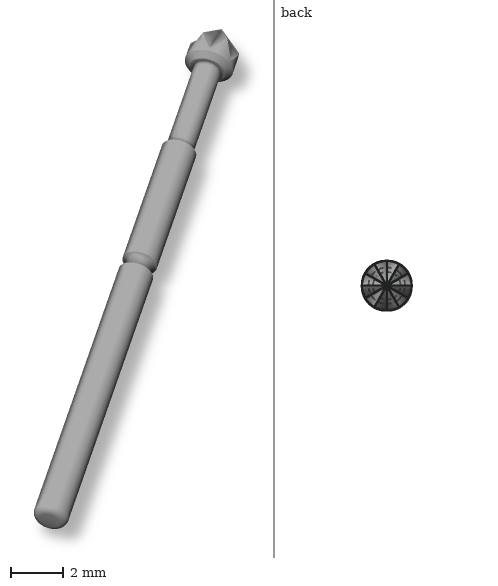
import cadquery as cq
import math

length = 24.6
head_radius = 0.95
shank_radius = 0.55
body_radius = 0.7

head_rim_end = 1.85
head_end = 2.07
body_start = 6.1
groove_start = 11.7
groove_end = 12.25

head_back_radius = 0.71
groove_depth = 0.17
tail_round = 0.3

ridge_count = 6
valley_length = 1.7
ridge_slope = 1.0
valley_slope = head_radius / valley_length


def make_head():
    """Round head with a chamfered back, its front cut to a star pyramid."""
    rim = cq.Workplane("XZ").circle(head_radius).extrude(head_rim_end)
    star = make_star_pyramid(head_rim_end)
    chamfer = (
        cq.Workplane("XY")
        .moveTo(0, -head_rim_end)
        .lineTo(head_radius, -head_rim_end)
        .lineTo(head_back_radius, -head_end)
        .lineTo(0, -head_end)
        .close()
        .revolve(360, (0, 0, 0), (0, 1, 0))
    )
    return rim.intersect(star).union(chamfer)


def make_star_pyramid(height):
    """Pyramid on a star base, with ridges and valleys alternating around the Y axis."""
    tip = cq.Vector(0, 0, 0)
    corner_count = 2 * ridge_count
    corners = []
    for index in range(corner_count):
        slope = ridge_slope if index % 2 == 0 else valley_slope
        angle = 2 * math.pi * index / corner_count
        radius = slope * height
        corners.append(cq.Vector(radius * math.cos(angle), -height, radius * math.sin(angle)))

    faces = [cq.Face.makeFromWires(cq.Wire.makePolygon(corners, close=True))]
    for index, corner in enumerate(corners):
        next_corner = corners[(index + 1) % corner_count]
        side = cq.Wire.makePolygon([tip, corner, next_corner], close=True)
        faces.append(cq.Face.makeFromWires(side))
    return cq.Workplane(cq.Solid.makeSolid(cq.Shell.makeShell(faces)))


def make_shaft():
    """Shank and body, with the round-bottomed groove and the rounded tail."""
    groove_middle = (groove_start + groove_end) / 2
    round_offset = tail_round * math.sqrt(0.5)
    round_center_radius = body_radius - tail_round
    round_center_y = -length + tail_round
    return (
        cq.Workplane("XY")
        .moveTo(0, -head_end)
        .lineTo(shank_radius, -head_end)
        .lineTo(shank_radius, -body_start)
        .lineTo(body_radius, -body_start)
        .lineTo(body_radius, -groove_start)
        .threePointArc((body_radius - groove_depth, -groove_middle), (body_radius, -groove_end))
        .lineTo(body_radius, round_center_y)
        .threePointArc(
            (round_center_radius + round_offset, round_center_y - round_offset),
            (round_center_radius, -length),
        )
        .lineTo(0, -length)
        .close()
        .revolve(360, (0, 0, 0), (0, 1, 0))
    )


result = make_head().union(make_shaft())